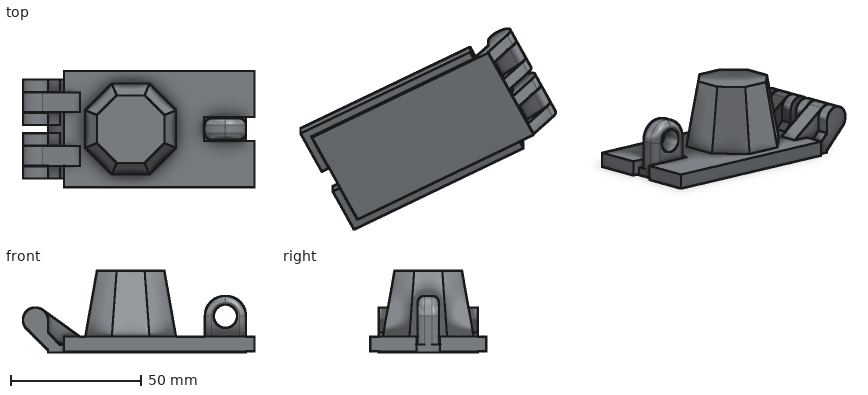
import cadquery as cq
import math


clearance = 0.254
hinge_clearance = 0.127
wall = 3.048
lid_lift = 0.508

barrel_radius = 4.826
barrel_z = 12.522
knuckle_width = 4.826
knuckle_gap = 7.874
hinge_spacing = 3.048
arm_reach = 17.145
arm_width = knuckle_gap - 2 * hinge_clearance
hinge_width = 2 * knuckle_width + knuckle_gap
hinge_offset = (hinge_width + hinge_spacing) / 2

base_x_min = barrel_radius
base_x_max = 80.902
base_width = 2 * hinge_width + hinge_spacing

staple_hole_diameter = 8.89
staple_length = 15.875
staple_width = 8.128
staple_fillet = 2.54
staple_flat = 0.254
staple_radius = (staple_length - staple_flat) / 2
staple_x = base_x_max - staple_length / 2
staple_z = 13.97

lid_x_min = barrel_radius + 2 * wall
lid_x_max = base_x_max + clearance + wall
recess_width = base_width + 2 * clearance
lid_width = recess_width + 2 * wall
lid_top = 2 * wall
notch_x_min = base_x_max - staple_length - clearance
notch_width = staple_width + 4 * clearance

knob_x = 36.576
knob_width = 34.9
knob_height = 25.4
knob_draft = 10


def block(x_min, x_max, width, z_min, z_max):
    """Box centred on Y = 0."""
    corner = cq.Vector(x_min, -width / 2, z_min)
    return cq.Workplane(cq.Solid.makeBox(x_max - x_min, width, z_max - z_min, corner))


def profile_plane(y_middle, width):
    """XZ workplane on the far side of a slice; extruding by its width runs toward -Y."""
    return cq.Workplane("XZ", origin=(0, y_middle + width / 2, 0))


def on_barrel(angle):
    """Point on the barrel circle, angle in radians from +X toward +Z."""
    return (barrel_radius * math.cos(angle), barrel_z + barrel_radius * math.sin(angle))


def tangent_angle(x, z, side):
    """Barrel angle where a line from (x, z) is tangent; side is +1 above or -1 below."""
    direction = math.atan2(z - barrel_z, x)
    spread = math.acos(barrel_radius / math.hypot(x, z - barrel_z))
    return direction + side * spread


def knuckle(y_middle):
    """Barrel on a 45 degree leg that stands on the base plate."""
    leg_top_z = barrel_z - barrel_radius
    leg_foot_x = barrel_z - wall
    leg_back_z = leg_top_z - barrel_radius * math.sqrt(2)
    return (
        profile_plane(y_middle, knuckle_width)
        .moveTo(*on_barrel(0))
        .lineTo(barrel_radius, leg_top_z)
        .lineTo(leg_foot_x, wall)
        .lineTo(base_x_min, leg_back_z)
        .lineTo(*on_barrel(math.radians(225)))
        .threePointArc(on_barrel(math.radians(112.5)), on_barrel(0))
        .close()
        .extrude(knuckle_width)
    )


def arm(y_middle):
    """Barrel with a tapering arm that runs into the lid roof."""
    upper = tangent_angle(arm_reach, lid_top, 1)
    lower = tangent_angle(lid_x_min, wall, -1)
    return (
        profile_plane(y_middle, arm_width)
        .moveTo(*on_barrel(upper))
        .lineTo(arm_reach, lid_top)
        .lineTo(lid_x_min, wall)
        .lineTo(*on_barrel(lower))
        .threePointArc(on_barrel((upper + lower) / 2 + math.pi), on_barrel(upper))
        .close()
        .extrude(arm_width)
    )


def make_staple():
    """Round-topped loop with rounded outer edges and a cross hole."""
    half_length = staple_length / 2
    half_flat = staple_flat / 2
    crown_z = staple_z + staple_radius
    arc_middle_x = half_flat + staple_radius * math.sqrt(0.5)
    arc_middle_z = staple_z + staple_radius * math.sqrt(0.5)
    loop = (
        cq.Workplane("XZ", origin=(staple_x, staple_width / 2, 0))
        .moveTo(-half_length, wall)
        .lineTo(-half_length, staple_z)
        .threePointArc((-arc_middle_x, arc_middle_z), (-half_flat, crown_z))
        .lineTo(half_flat, crown_z)
        .threePointArc((arc_middle_x, arc_middle_z), (half_length, staple_z))
        .lineTo(half_length, wall)
        .close()
        .extrude(staple_width)
    )
    loop = loop.faces("|Y").edges("not <Z").fillet(staple_fillet)
    hole = (
        profile_plane(0, staple_width)
        .center(staple_x, staple_z)
        .circle(staple_hole_diameter / 2)
        .extrude(staple_width)
    )
    return loop.cut(hole)


def make_base():
    """Plate with four hinge knuckles and the staple."""
    base = block(base_x_min, base_x_max, base_width, 0, wall)
    knuckle_offset = (knuckle_gap + knuckle_width) / 2
    for hinge_y in (-hinge_offset, hinge_offset):
        for side in (-1, 1):
            base = base.union(knuckle(hinge_y + side * knuckle_offset))
    return base.union(make_staple())


def make_knob():
    """Tapered octagon with flats facing X and Y."""
    corner_diameter = knob_width / math.cos(math.pi / 8)
    return (
        cq.Workplane("XY", origin=(knob_x, 0, lid_top))
        .transformed(rotate=(0, 0, 22.5))
        .polygon(8, corner_diameter)
        .extrude(knob_height, taper=knob_draft)
    )


def make_lid():
    """Plate recessed over the base, with the knob, two hinge arms and a staple notch."""
    lid = block(lid_x_min, lid_x_max, lid_width, lid_lift, lid_top)
    lid = lid.cut(block(lid_x_min, base_x_max + clearance, recess_width, lid_lift, wall))
    lid = lid.cut(block(notch_x_min, lid_x_max, notch_width, lid_lift, lid_top))
    lid = lid.union(make_knob())
    for hinge_y in (-hinge_offset, hinge_offset):
        lid = lid.union(arm(hinge_y))
    return lid


base = make_base()
lid = make_lid()

result = cq.Compound.makeCompound([base.val(), lid.val()])